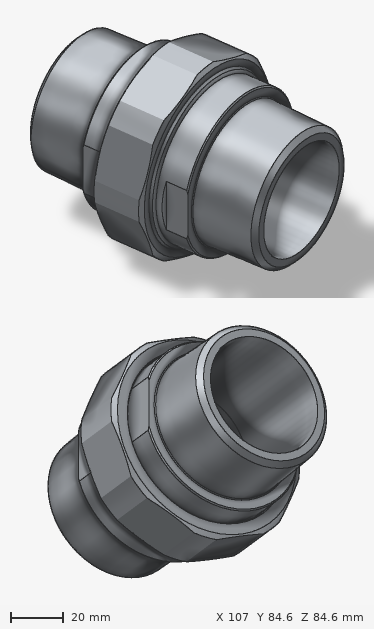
import cadquery as cq
import math

LENGTH = 107.0

SPIGOT_LENGTH = 28.6
SPIGOT_TIP_RADIUS = 29.4
SPIGOT_ROOT_RADIUS = 30.3
SPIGOT_CHAMFER_LENGTH = 2.0
SPIGOT_FACE_RADIUS = 27.2
COLLAR_FOOT_RADIUS = 61.5 / 2

COLLAR_RADIUS = 70.0 / 2
COLLAR_INSET = 28.9
COLLAR_CHAMFER = 0.5
FLAT_DISTANCE = 33.1
BODY_FLAT_LENGTH = 10.1
FLAT_RUNOUT = 0.6

TAIL_BORE_RADIUS = 48.2 / 2
BODY_BORE_RADIUS = 48.0 / 2

NUT_START = 39.9
NUT_END = 62.9
NUT_CORNER_RADIUS = 84.6 / 2
NUT_FLAT_DISTANCE = 40.8
NUT_SIDES = 8
NUT_FACE_RADIUS = 40.1
NUT_CHAMFER_LENGTH = 1.1
NUT_LIP_RADIUS = 70.5 / 2
NUT_LIP_LENGTH = 4.3
NUT_LIP_CHAMFER = 0.4
NUT_BORE_RADIUS = 74.4 / 2

TAIL_FLANGE_RADIUS = 74.0 / 2
JOINT_X = 49.2
BODY_CONE_LENGTH = 1.1
BODY_CONE_END_RADIUS = 36.4
BODY_STEP_LENGTH = 0.6


def revolve_profile(points):
    """Revolve an (x, radius) outline about the X axis."""
    return cq.Workplane("XY").polyline(points).close().revolve(360, (0, 0, 0), (1, 0, 0))


def spigot_outline():
    """(distance from the end, radius) points from the end face to the collar's outer edge."""
    return [
        (0, SPIGOT_FACE_RADIUS),
        (SPIGOT_CHAMFER_LENGTH, SPIGOT_TIP_RADIUS),
        (SPIGOT_LENGTH, SPIGOT_ROOT_RADIUS),
        (COLLAR_INSET, COLLAR_FOOT_RADIUS),
        (COLLAR_INSET, COLLAR_RADIUS - COLLAR_CHAMFER),
        (COLLAR_INSET + COLLAR_CHAMFER, COLLAR_RADIUS),
    ]


def cut_wrench_flats(body, start, end, start_runout=0):
    """Cut flats facing -Y and +Y between two X positions; the start wall leans out by start_runout."""
    cutter = (
        cq.Workplane("XY")
        .polyline([
            (start, FLAT_DISTANCE),
            (end, FLAT_DISTANCE),
            (end, COLLAR_RADIUS),
            (start - start_runout, COLLAR_RADIUS),
        ])
        .close()
        .extrude(COLLAR_RADIUS, both=True)
    )
    return body.cut(cutter).cut(cutter.mirror("XZ"))


def make_tail_piece():
    """Left-hand end whose flange is held by the nut's lip."""
    flange_x = NUT_START + NUT_LIP_LENGTH
    outline = [(0, TAIL_BORE_RADIUS)] + spigot_outline() + [
        (flange_x, COLLAR_RADIUS),
        (flange_x, TAIL_FLANGE_RADIUS),
        (JOINT_X, TAIL_FLANGE_RADIUS),
        (JOINT_X, TAIL_BORE_RADIUS),
    ]
    return cut_wrench_flats(revolve_profile(outline), COLLAR_INSET, flange_x)


def make_body_piece():
    """Right-hand end that screws into the nut and tapers to its collar outside it."""
    cone_end = NUT_END + BODY_CONE_LENGTH
    mirrored_spigot = [(LENGTH - x, radius) for x, radius in reversed(spigot_outline())]
    outline = [
        (JOINT_X, BODY_BORE_RADIUS),
        (JOINT_X, NUT_BORE_RADIUS),
        (NUT_END, NUT_BORE_RADIUS),
        (cone_end, BODY_CONE_END_RADIUS),
        (cone_end + BODY_STEP_LENGTH, COLLAR_RADIUS),
    ] + mirrored_spigot + [(LENGTH, BODY_BORE_RADIUS)]
    collar_end = LENGTH - COLLAR_INSET
    flat_start = collar_end - BODY_FLAT_LENGTH
    return cut_wrench_flats(revolve_profile(outline), flat_start, collar_end, FLAT_RUNOUT)


def make_nut():
    """Octagonal nut with rounded corners, chamfered ends and a lip at its left end."""
    chamfer_start = NUT_START + NUT_CHAMFER_LENGTH
    chamfer_end = NUT_END - NUT_CHAMFER_LENGTH
    lip_end = NUT_START + NUT_LIP_LENGTH
    ring = revolve_profile([
        (NUT_START + NUT_LIP_CHAMFER, NUT_LIP_RADIUS),
        (NUT_START, NUT_LIP_RADIUS + NUT_LIP_CHAMFER),
        (NUT_START, NUT_FACE_RADIUS),
        (chamfer_start, NUT_CORNER_RADIUS),
        (chamfer_end, NUT_CORNER_RADIUS),
        (NUT_END, NUT_FACE_RADIUS),
        (NUT_END, NUT_BORE_RADIUS),
        (lip_end, NUT_BORE_RADIUS),
        (lip_end, NUT_LIP_RADIUS),
    ])
    across_corners = 2 * NUT_FLAT_DISTANCE / math.cos(math.pi / NUT_SIDES)
    octagon = (
        cq.Workplane("YZ", origin=(NUT_START, 0, 0))
        .polygon(NUT_SIDES, across_corners)
        .extrude(NUT_END - NUT_START)
    )
    return ring.intersect(octagon)


tail_piece = make_tail_piece()
body_piece = make_body_piece()
nut = make_nut()

result = cq.Compound.makeCompound([tail_piece.val(), body_piece.val(), nut.val()])